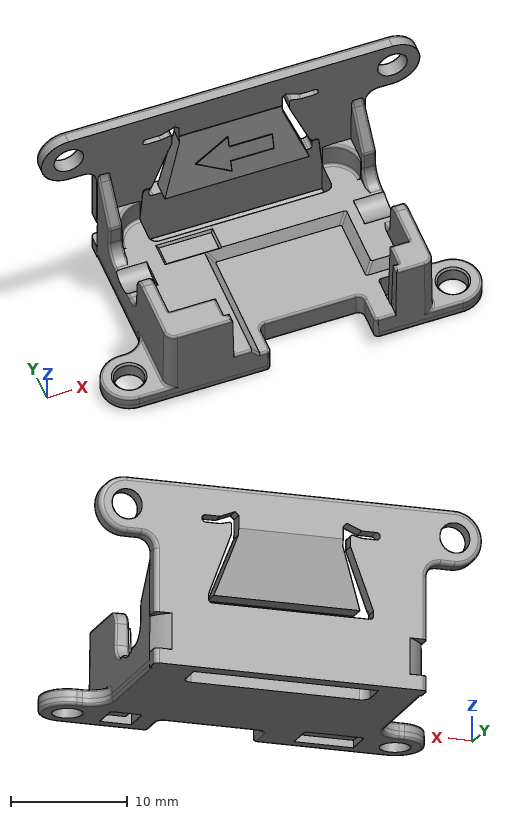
import cadquery as cq
import math


OVERALL_DEPTH = 18.35
OVERALL_HEIGHT = 16.5
BODY_HALF_WIDTH = 12.3
DRAFT = 0.8
FAR = 40.0
IN_FRONT = -1.0
MARGIN = 0.1
ARC_SAG = 1 - math.sqrt(0.5)

EAR_HOLE_X = 14.8
EAR_RADIUS = 2.5
EAR_HOLE_DIAMETER = 2.7
BASE_EAR_BLEND = 2.0
PLATE_EAR_BLEND = 1.2
EAR_THICKNESS = 1.47
HOLE_RIM_ANGLE = 40
PARTING_Z = 0.67

DECK_Z = 3.3
POCKET_Z = 2.48
BOTTOM_ROUND = 0.25
EDGE_ROUND = 0.2

POCKET_LEFT = -4.48
POCKET_RIGHT = 8.5
POCKET_BACK_Y = 11.58
POCKET_STEP_Y = 5.63
POCKET_BANK_ANGLE = 42
POCKET_CORNER_ROUND = 0.25

RECESS_LEFT = -8.1
RECESS_RIGHT = -2.9
RECESS_FRONT_Y = 11.5
RECESS_REAR_Y = 13.75
RECESS_DEPTH = 0.2
RECESS_BANK_ANGLE = 45

NOTCH_LEFT = -2.75
NOTCH_RIGHT = 6.75
NOTCH_DEPTH = 3.1
NOTCH_INNER_ROUND = 0.6
NOTCH_OUTER_ROUND = 0.4

INNER_HALF_WIDTH = 10.85
WALL_MIDDLE_X = (INNER_HALF_WIDTH + BODY_HALF_WIDTH) / 2
INNER_DRAFT = 1.0
POST_TOP_Z = 8.1
POST_BACK_Y = 3.1
LIP_BACK_Y = 1.1
LEFT_POST_X = -6.6
RIGHT_POST_X = 9.1
LIP_LENGTH = 0.5
POST_CORNER_RADIUS = 1.0
WALL_EDGE_ROUND = 0.2
WALL_FOOT_ROUND = 0.2

SADDLE_FRONT_Y = 7.6
SADDLE_BACK_Y = 14.2
SADDLE_RADIUS = 1.55
SADDLE_LIP_RADIUS = 1.3
RIB_SHOULDER_Z = 6.65
SHOULDER_ROUND = 0.5
RIB_BLEND_START = (16.7, 10.15)
RIB_BLEND_END_Z = 11.3

SEAT_RADIUS = 2.0
SEAT_Y = 11.0
SEAT_DEPTH = 0.54
SEAT_INNER_X = 9.45

PLATE_FRONT_BOTTOM_Y = 16.87
PLATE_FRONT_TOP_Y = 17.08
PLATE_BACK_ROUND = 0.4
PLATE_MIDDLE_Y = (PLATE_FRONT_TOP_Y + OVERALL_DEPTH) / 2

CLIP_SLOT_HALF_WIDTH = 8.35
CLIP_SLOT_FRONT_Y = 14.13
CLIP_SLOT_ROUND = 0.75
POST_SLOT_FRONT_Y = 1.25
POST_SLOT_BACK_Y = 4.15
POST_SLOT_GAP = 0.5
POST_SLOT_ROUND = 0.3

BOSS_RADIUS = 2.5
BOSS_X = CLIP_SLOT_HALF_WIDTH
BOSS_Y = PLATE_FRONT_BOTTOM_Y - BOSS_RADIUS
BOSS_TOP_Z = 5.8
BOSS_ROUND = 0.25
SCOOP_RADIUS = 4.65
SCOOP_BOTTOM_Z = 1.35
SCOOP_TOP_Z = 4.6

TONGUE_TOP_HALF_WIDTH = 4.72
TONGUE_BOTTOM_HALF_WIDTH = 6.6
TONGUE_BEND_Z = 12.25
TONGUE_BOTTOM_Z = 6.95
TONGUE_FRONT_Y = 15.5
TONGUE_FREE_THICKNESS = 1.75
TONGUE_SLOPE_TOP_Z = 12.85
WINDOW_BOTTOM_Z = 5.9
WINDOW_BOTTOM_HALF_WIDTH = 7.45
WINDOW_SIDE_Z = 6.65
WINDOW_CORNER_ROUND = 0.35
SLIT_WIDTH = 0.65
TAIL_TIP_X = 8.03
TAIL_START_X = 6.4
TAIL_Z = 13.42
TAIL_BUMP = 0.2
SLIT_PEAK_X = 5.05
SLIT_PEAK_Z = 14.3
ARROW_Z = 9.6
ARROW_HEIGHT = 0.1
ARROW_HALF_LENGTH = 3.55
ARROW_HEAD_X = -0.4
ARROW_HEAD_WIDTH = 3.7
ARROW_SHAFT_WIDTH = 1.52

RELIEF_TOP_HALF_WIDTH = 8.03
RELIEF_TOP_Z = 7.0
RELIEF_BACK_Y = 17.05
RELIEF_ROUND = 0.3


def box(x0, x1, y0, y1, z0, z1):
    return cq.Workplane("XY").box(x1 - x0, y1 - y0, z1 - z0, centered=False).translate((x0, y0, z0))


def with_mirror(shape):
    return shape.union(shape.mirror("YZ"))


def edges_inside(half_width, back_y, bottom_z, top_z):
    """Selector for the edges that lie wholly in a box reaching from in front of the part to back_y."""
    return cq.selectors.BoxSelector(
        (-half_width, IN_FRONT, bottom_z), (half_width, back_y, top_z), boundingbox=True
    )


def ear_outline(plane, ear_v, outer_v, blend, far_v):
    """Outline of a body with an ear at each side; v is the second axis of the plane.

    outer_v is the straight edge that joins the ears, far_v the body edge opposite to it.
    """
    side = math.copysign(1, far_v - outer_v)
    inner_v = ear_v + side * EAR_RADIUS
    arc = blend * ARC_SAG
    ear_end = EAR_HOLE_X + EAR_RADIUS
    blend_x = BODY_HALF_WIDTH + blend
    blend_v = inner_v + side * blend
    return (
        cq.Workplane(plane)
        .moveTo(-EAR_HOLE_X, outer_v)
        .lineTo(EAR_HOLE_X, outer_v)
        .threePointArc((ear_end, ear_v), (EAR_HOLE_X, inner_v))
        .lineTo(blend_x, inner_v)
        .threePointArc((BODY_HALF_WIDTH + arc, inner_v + side * arc), (BODY_HALF_WIDTH, blend_v))
        .lineTo(BODY_HALF_WIDTH, far_v)
        .lineTo(-BODY_HALF_WIDTH, far_v)
        .lineTo(-BODY_HALF_WIDTH, blend_v)
        .threePointArc((-BODY_HALF_WIDTH - arc, inner_v + side * arc), (-blend_x, inner_v))
        .lineTo(-EAR_HOLE_X, inner_v)
        .threePointArc((-ear_end, ear_v), (-EAR_HOLE_X, outer_v))
        .close()
    )


def ear_holes(plane, ear_v):
    centres = [(-EAR_HOLE_X, ear_v), (EAR_HOLE_X, ear_v)]
    return cq.Workplane(plane).pushPoints(centres).circle(EAR_HOLE_DIAMETER / 2)


def front_notch():
    """Front notch with rounded inner corners and flared, rounded mouth corners."""
    mouth, inner = NOTCH_OUTER_ROUND, NOTCH_INNER_ROUND
    mouth_block = box(NOTCH_LEFT - mouth, NOTCH_RIGHT + mouth, IN_FRONT, mouth, 0, DECK_Z)
    for x in (NOTCH_LEFT - mouth, NOTCH_RIGHT + mouth):
        mouth_block = mouth_block.cut(cq.Workplane("XY").center(x, mouth).circle(mouth).extrude(DECK_Z))
    notch = box(NOTCH_LEFT, NOTCH_RIGHT, IN_FRONT, NOTCH_DEPTH, 0, DECK_Z).edges("|Z and >Y").fillet(inner)
    return notch.union(mouth_block)


def base_flange():
    """Thin base with the two front screw ears."""
    straight = ear_outline("XY", EAR_RADIUS, 0, BASE_EAR_BLEND, PLATE_MIDDLE_Y).extrude(PARTING_Z)
    drafted = ear_outline("XY", EAR_RADIUS, 0, BASE_EAR_BLEND, PLATE_MIDDLE_Y)
    drafted = drafted.extrude(EAR_THICKNESS - PARTING_Z, taper=DRAFT).translate((0, 0, PARTING_Z))
    flange = straight.union(drafted).cut(front_notch())
    flange = flange.faces("<Z").edges("not >Y").fillet(BOTTOM_ROUND)
    ears = flange.faces(">Z").edges("not >Y").fillet(EDGE_ROUND)
    holes = ear_holes("XY", EAR_RADIUS).extrude(EAR_THICKNESS)
    rims = ear_holes("XY", EAR_RADIUS).extrude(EDGE_ROUND, taper=-HOLE_RIM_ANGLE)
    rims = rims.translate((0, 0, EAR_THICKNESS - EDGE_ROUND))
    return ears.cut(holes).cut(rims)


def body_envelope(height):
    """Drafted outer block with rounded front corners; its back ends inside the plate."""
    profile = (
        cq.Sketch().push([(0, PLATE_MIDDLE_Y / 2)]).rect(2 * BODY_HALF_WIDTH, PLATE_MIDDLE_Y)
        .reset().vertices("<Y").fillet(POST_CORNER_RADIUS)
    )
    block = cq.Workplane("XY").workplane(offset=PARTING_Z)
    return block.placeSketch(profile).extrude(height - PARTING_Z, taper=DRAFT)


def sunken_area(left, right, front_y, back_y, depth, bank_angle):
    """Rectangular cutter that narrows downwards from the deck."""
    return (
        cq.Workplane("XY").workplane(offset=DECK_Z).center((left + right) / 2, (front_y + back_y) / 2)
        .rect(right - left, back_y - front_y).extrude(-depth, taper=bank_angle)
    )


def pocket():
    """Sunken floor area with sloping banks, open to the front and to the right wall."""
    depth = DECK_Z - POCKET_Z
    main = sunken_area(POCKET_LEFT, POCKET_RIGHT, IN_FRONT, POCKET_BACK_Y, depth, POCKET_BANK_ANGLE)
    branch = sunken_area(POCKET_LEFT, FAR, IN_FRONT, POCKET_STEP_Y, depth, POCKET_BANK_ANGLE)
    return main.union(branch).edges("not #Z").fillet(POCKET_CORNER_ROUND)


def shallow_recess():
    return sunken_area(
        RECESS_LEFT, RECESS_RIGHT, RECESS_FRONT_Y, RECESS_REAR_Y, RECESS_DEPTH, RECESS_BANK_ANGLE
    )


def clip_slot():
    return (
        box(-CLIP_SLOT_HALF_WIDTH, CLIP_SLOT_HALF_WIDTH, CLIP_SLOT_FRONT_Y, OVERALL_DEPTH, 0, DECK_Z)
        .edges("|Z and <Y").fillet(CLIP_SLOT_ROUND)
    )


def post_slot(post_x, inward):
    """Floor opening around a post; inward is the X direction from the post to the middle."""
    inner_x = post_x + inward * POST_SLOT_GAP
    wall_x = -inward * (INNER_HALF_WIDTH + 2 * POST_SLOT_ROUND)
    left, right = sorted((inner_x, wall_x))
    return (
        box(left, right, POST_SLOT_FRONT_Y, POST_SLOT_BACK_Y, 0, DECK_Z)
        .edges("|Z and >Y").fillet(POST_SLOT_ROUND)
    )


def floor():
    between_walls = box(-WALL_MIDDLE_X, WALL_MIDDLE_X, 0, PLATE_MIDDLE_Y, 0, DECK_Z)
    slab = body_envelope(DECK_Z).intersect(between_walls).cut(front_notch())
    slab = slab.cut(pocket())
    rim_half_width = BODY_HALF_WIDTH - POST_CORNER_RADIUS + MARGIN
    slab = slab.edges(edges_inside(
        rim_half_width, NOTCH_DEPTH + MARGIN, POCKET_Z - MARGIN, DECK_Z + MARGIN
    )).fillet(EDGE_ROUND)
    slab = slab.cut(shallow_recess()).cut(clip_slot())
    return slab.cut(post_slot(LEFT_POST_X, 1)).cut(post_slot(RIGHT_POST_X, -1))


def wall_cavity():
    """Open space between the side walls, stepping in around the front posts."""
    outline = [
        (-INNER_HALF_WIDTH, FAR / 2),
        (-INNER_HALF_WIDTH, POST_BACK_Y),
        (LEFT_POST_X, POST_BACK_Y),
        (LEFT_POST_X, LIP_BACK_Y),
        (LEFT_POST_X + LIP_LENGTH, LIP_BACK_Y),
        (LEFT_POST_X + LIP_LENGTH, IN_FRONT),
        (RIGHT_POST_X - LIP_LENGTH, IN_FRONT),
        (RIGHT_POST_X - LIP_LENGTH, LIP_BACK_Y),
        (RIGHT_POST_X, LIP_BACK_Y),
        (RIGHT_POST_X, POST_BACK_Y),
        (INNER_HALF_WIDTH, POST_BACK_Y),
        (INNER_HALF_WIDTH, FAR / 2),
    ]
    return cq.Workplane("XY").polyline(outline).close().extrude(OVERALL_HEIGHT, taper=-INNER_DRAFT)


def wall_side_profile():
    """Side shape of the walls: post, saddle and the sloping rib up to the plate."""
    dip = SADDLE_RADIUS * ARC_SAG
    lip = SADDLE_LIP_RADIUS * ARC_SAG
    lip_z = POST_TOP_Z - SADDLE_LIP_RADIUS
    return (
        cq.Workplane("YZ").moveTo(IN_FRONT, 0).lineTo(IN_FRONT, POST_TOP_Z)
        .lineTo(SADDLE_FRONT_Y - SADDLE_LIP_RADIUS, POST_TOP_Z)
        .threePointArc((SADDLE_FRONT_Y - lip, POST_TOP_Z - lip), (SADDLE_FRONT_Y, lip_z))
        .lineTo(SADDLE_FRONT_Y, DECK_Z + SADDLE_RADIUS)
        .threePointArc((SADDLE_FRONT_Y + dip, DECK_Z + dip), (SADDLE_FRONT_Y + SADDLE_RADIUS, DECK_Z))
        .lineTo(SADDLE_BACK_Y - SADDLE_RADIUS, DECK_Z)
        .threePointArc((SADDLE_BACK_Y - dip, DECK_Z + dip), (SADDLE_BACK_Y, DECK_Z + SADDLE_RADIUS))
        .lineTo(SADDLE_BACK_Y, RIB_SHOULDER_Z)
        .lineTo(*RIB_BLEND_START)
        .tangentArcPoint((PLATE_FRONT_TOP_Y, RIB_BLEND_END_Z), relative=False)
        .lineTo(PLATE_MIDDLE_Y, RIB_BLEND_END_Z).lineTo(PLATE_MIDDLE_Y, 0).close()
        .extrude(FAR, both=True)
        .edges(cq.selectors.NearestToPointSelector((0, SADDLE_BACK_Y, RIB_SHOULDER_Z)))
        .fillet(SHOULDER_ROUND)
    )


def walls():
    block = body_envelope(OVERALL_HEIGHT).cut(wall_cavity()).intersect(wall_side_profile())
    low_z, high_z = DECK_Z - MARGIN, RIB_BLEND_END_Z + MARGIN
    post_edges = block.edges(edges_inside(FAR, POST_BACK_Y + MARGIN, low_z, high_z))
    side_edges = block.edges(edges_inside(FAR, PLATE_FRONT_TOP_Y + MARGIN, low_z, high_z)).edges("not |X")
    return post_edges.add(side_edges).fillet(WALL_EDGE_ROUND)


def back_plate():
    outline = ear_outline("XZ", OVERALL_HEIGHT - EAR_RADIUS, OVERALL_HEIGHT, PLATE_EAR_BLEND, 0)
    thickness = OVERALL_DEPTH - PLATE_FRONT_BOTTOM_Y
    plate = outline.extrude(-thickness).translate((0, PLATE_FRONT_BOTTOM_Y, 0))
    plate = plate.faces(">Y").edges("not <Z").fillet(PLATE_BACK_ROUND)
    front_draft = (
        cq.Workplane("YZ").moveTo(PLATE_FRONT_BOTTOM_Y, 0).lineTo(PLATE_FRONT_TOP_Y, OVERALL_HEIGHT)
        .lineTo(PLATE_FRONT_BOTTOM_Y, OVERALL_HEIGHT).close().extrude(FAR, both=True)
    )
    holes = ear_holes("XZ", OVERALL_HEIGHT - EAR_RADIUS).extrude(-FAR)
    return plate.cut(front_draft).cut(holes)


def window():
    """Slit around the tongue: wide below it, narrow up its sides, with an outward tail at each top."""
    r = SLIT_WIDTH / 2
    outer_x = TONGUE_TOP_HALF_WIDTH + SLIT_WIDTH
    tail_top, tail_bottom = TAIL_Z + r, TAIL_Z - r
    sag = TAIL_BUMP * ARC_SAG
    bump_z = tail_bottom + TAIL_BUMP
    half = (
        cq.Workplane("XZ").moveTo(0, WINDOW_BOTTOM_Z)
        .lineTo(WINDOW_BOTTOM_HALF_WIDTH, WINDOW_BOTTOM_Z)
        .lineTo(WINDOW_BOTTOM_HALF_WIDTH, WINDOW_SIDE_Z)
        .lineTo(outer_x, TONGUE_BEND_Z)
        .lineTo(outer_x, tail_bottom)
        .threePointArc((outer_x + sag, bump_z - sag), (outer_x + TAIL_BUMP, bump_z))
        .lineTo(TAIL_START_X, tail_bottom)
        .lineTo(TAIL_TIP_X - r, tail_bottom)
        .threePointArc((TAIL_TIP_X, TAIL_Z), (TAIL_TIP_X - r, tail_top))
        .lineTo(TAIL_START_X, tail_top)
        .lineTo(SLIT_PEAK_X, SLIT_PEAK_Z)
        .lineTo(TONGUE_TOP_HALF_WIDTH, SLIT_PEAK_Z - r)
        .lineTo(TONGUE_TOP_HALF_WIDTH, TONGUE_BEND_Z)
        .lineTo(TONGUE_BOTTOM_HALF_WIDTH, TONGUE_BOTTOM_Z)
        .lineTo(0, TONGUE_BOTTOM_Z).close().extrude(-FAR)
        .edges("|Y and <Z").edges(">X").fillet(WINDOW_CORNER_ROUND)
    )
    return with_mirror(half)


def tongue_outline():
    """Block with the tongue's front outline, through the whole depth."""
    top, bottom = TONGUE_TOP_HALF_WIDTH, TONGUE_BOTTOM_HALF_WIDTH
    return (
        cq.Workplane("XZ").polyline([
            (-bottom, TONGUE_BOTTOM_Z), (bottom, TONGUE_BOTTOM_Z), (top, TONGUE_BEND_Z),
            (top, TONGUE_SLOPE_TOP_Z), (-top, TONGUE_SLOPE_TOP_Z), (-top, TONGUE_BEND_Z),
        ]).close().extrude(-FAR)
    )


def tongue():
    """Latch tongue: a tab that leans forward out of the plate."""
    slope = (
        cq.Workplane("YZ").moveTo(TONGUE_FRONT_Y, TONGUE_BOTTOM_Z)
        .lineTo(PLATE_FRONT_TOP_Y, TONGUE_SLOPE_TOP_Z).lineTo(OVERALL_DEPTH, TONGUE_SLOPE_TOP_Z)
        .lineTo(TONGUE_FRONT_Y + TONGUE_FREE_THICKNESS, TONGUE_BOTTOM_Z).close()
        .extrude(FAR, both=True)
    )
    return slope.intersect(tongue_outline())


def arrow():
    """Raised arrow on the sloping face of the tongue, pointing to -X."""
    tip_x, head_x, tail_x = -ARROW_HALF_LENGTH, ARROW_HEAD_X, ARROW_HALF_LENGTH
    head_half, shaft_half = ARROW_HEAD_WIDTH / 2, ARROW_SHAFT_WIDTH / 2
    run = PLATE_FRONT_TOP_Y - TONGUE_FRONT_Y
    rise = TONGUE_SLOPE_TOP_Z - TONGUE_BOTTOM_Z
    along_slope = (ARROW_Z - TONGUE_BOTTOM_Z) / rise
    centre = (0, TONGUE_FRONT_Y + along_slope * run, ARROW_Z)
    face = cq.Plane(origin=centre, xDir=(1, 0, 0), normal=(0, -rise, run))
    outline = [
        (tip_x, 0), (head_x, head_half), (head_x, shaft_half), (tail_x, shaft_half),
        (tail_x, -shaft_half), (head_x, -shaft_half), (head_x, -head_half),
    ]
    sunk = cq.Workplane(face).workplane(offset=-ARROW_HEIGHT)
    return sunk.polyline(outline).close().extrude(2 * ARROW_HEIGHT)


def plate_relief():
    """Shallow relief in the plate above the floor slot, narrowing upwards."""
    return (
        cq.Workplane("XZ")
        .polyline([
            (-CLIP_SLOT_HALF_WIDTH, 0), (CLIP_SLOT_HALF_WIDTH, 0), (CLIP_SLOT_HALF_WIDTH, DECK_Z),
            (RELIEF_TOP_HALF_WIDTH, RELIEF_TOP_Z), (-RELIEF_TOP_HALF_WIDTH, RELIEF_TOP_Z),
            (-CLIP_SLOT_HALF_WIDTH, DECK_Z),
        ]).close().extrude(-RELIEF_BACK_Y)
        .edges("|Y and >Z").fillet(RELIEF_ROUND)
    )


def corner_boss():
    diagonal = BOSS_RADIUS * math.sqrt(0.5)
    back_y = PLATE_FRONT_TOP_Y
    return (
        cq.Workplane("XY").moveTo(BOSS_X + BOSS_RADIUS, BOSS_Y)
        .threePointArc((BOSS_X + diagonal, BOSS_Y + diagonal), (BOSS_X, BOSS_Y + BOSS_RADIUS))
        .lineTo(BOSS_X, back_y).lineTo(WALL_MIDDLE_X, back_y).lineTo(WALL_MIDDLE_X, BOSS_Y)
        .close().extrude(BOSS_TOP_Z)
        .faces(">Z").edges("%CIRCLE").fillet(BOSS_ROUND)
    )


def boss_foot():
    """Concave fillet between the boss and the deck."""
    inner, outer = BOSS_RADIUS - BOSS_ROUND, BOSS_RADIUS + BOSS_ROUND
    top_z = DECK_Z + BOSS_ROUND
    sag = BOSS_ROUND * ARC_SAG
    return (
        cq.Workplane("XZ").moveTo(inner, DECK_Z).threePointArc(
            (BOSS_RADIUS - sag, DECK_Z + sag), (BOSS_RADIUS, top_z)
        ).lineTo(outer, top_z).lineTo(outer, DECK_Z).close()
        .revolve(90, (0, 0, 0), (0, 1, 0)).translate((BOSS_X, BOSS_Y, 0))
    )


def corner_scoop():
    height = SCOOP_TOP_Z - SCOOP_BOTTOM_Z
    kept = cq.Workplane("XY").circle(SCOOP_RADIUS).extrude(height)
    kept = kept.translate((BOSS_X, BOSS_Y, SCOOP_BOTTOM_Z))
    corner = box(BOSS_X, FAR, PLATE_FRONT_BOTTOM_Y, FAR, SCOOP_BOTTOM_Z, SCOOP_TOP_Z)
    return corner.cut(kept)


def seat():
    axis_z = DECK_Z - SEAT_DEPTH + SEAT_RADIUS
    return (
        cq.Workplane("YZ").center(SEAT_Y, axis_z).circle(SEAT_RADIUS).extrude(FAR)
        .translate((SEAT_INNER_X, 0, 0))
    )


def base_and_walls():
    """Ear flange and walls, with a concave fillet where the walls rise from the ears."""
    slots = post_slot(LEFT_POST_X, 1).union(post_slot(RIGHT_POST_X, -1)).union(clip_slot())
    base = base_flange().cut(slots).union(walls())
    for side in (-1, 1):
        foot = (side * BODY_HALF_WIDTH, EAR_RADIUS, EAR_THICKNESS)
        base = base.edges("|Y").edges(cq.selectors.NearestToPointSelector(foot)).fillet(WALL_FOOT_ROUND)
    return base


def plate_and_latch():
    plate = back_plate().cut(window()).cut(tongue_outline()).cut(plate_relief())
    return plate.union(tongue()).union(arrow())


result = (
    base_and_walls()
    .union(floor())
    .union(plate_and_latch())
    .union(with_mirror(corner_boss().union(boss_foot())))
    .cut(with_mirror(corner_scoop()))
    .cut(with_mirror(seat()))
)